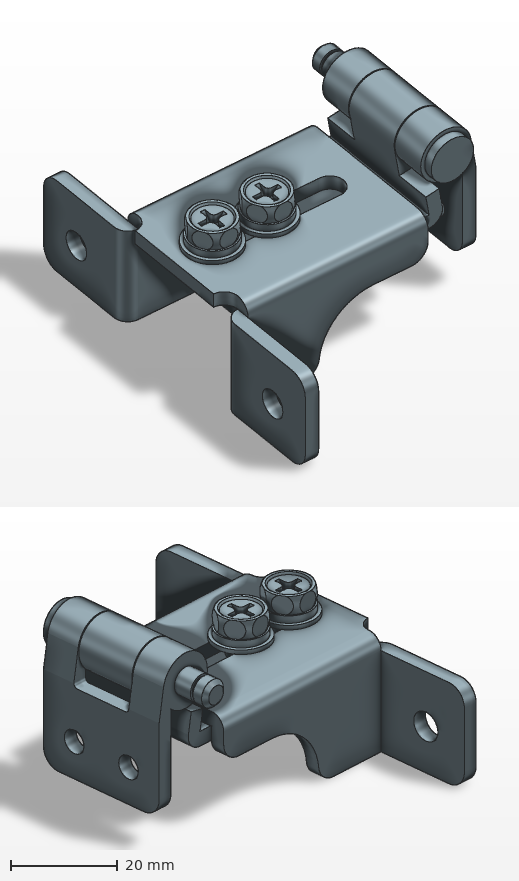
import cadquery as cq
import math

SHEET = 3.2
CORNER_RADIUS = 4.0
KNUCKLE_RADIUS = 6.0
AXIS_Y = 52.9
AXIS_Z = 34.4
PIN_RADIUS = 3.0
LEAF_WIDTH = 30.0
TONGUE_WIDTH = 13.8
KNUCKLE_GAP = 0.2
THROUGH = 160.0

PLATE_TOP = 25.0
PLATE_BOTTOM = PLATE_TOP - SHEET
BRACKET_WIDTH = 36.8
BRACKET_LENGTH = 46.0
FLAT_HALF = BRACKET_WIDTH / 2 - SHEET
CHEEK_DEPTH = 10.0
CHEEK_ARC_RADIUS = 12.8
CHEEK_ARC_Y = 32.9
WING_SPAN = 80.0
WING_HOLE_SPACING = 60.0
WING_HOLE_Z = 10.0
WING_HOLE_DIAMETER = 6.2
SLOT_WIDTH = 6.4
SLOT_REAR_Y = 37.0

BOLT_FRONT_Y = 9.0
BOLT_SPACING = 13.0
BOLT_YS = [BOLT_FRONT_Y, BOLT_FRONT_Y + BOLT_SPACING]
BOLT_DIAMETER = 6.0
BOLT_TIP = 1.1
FLAT_WASHER_DIAMETER = 12.5
FLAT_WASHER_THICKNESS = 1.0
SPRING_WASHER_DIAMETER = 10.9
SPRING_WASHER_THICKNESS = 1.6
HEAD_HEIGHT = 4.0
HEAD_ACROSS_FLATS = 10.0
HEAD_BALL_RADIUS = 5.4
DISH_RADIUS = 4.4
DISH_FLOOR_RADIUS = 4.1
DISH_DEPTH = 0.5
CROSS_ARM_WIDTH = 1.0
CROSS_LENGTH = 6.0
CROSS_FLOOR_LENGTH = 3.0
CROSS_DEPTH = 2.0
CROSS_CORNER_RADIUS = 1.0

FRONT_LEAF_Y = 4.0
FRONT_LEAF_BEND_Y = 48.9
FRONT_LEAF_CORNER = 3.0
SHOULDER_RISE = 4.7

BACK_FACE_Y = 60.0
BACK_LEAF_BOTTOM = 7.5
BACK_LEAF_BEND_Z = 28.1
BACK_HOLE_SPACING = 14.1
BACK_HOLE_HEIGHT = 8.0
BACK_HOLE_DIAMETER = 5.0
NOTCH_FLOOR_Z = 27.2
NOTCH_FILLET = 1.0

PIN_PROJECTION = 8.0
PIN_CHAMFER = 1.0
PIN_HEAD_RADIUS = 5.0
PIN_HEAD_THICKNESS = 2.0
GROOVE_TO_TIP = 3.2
GROOVE_WIDTH = 0.6
GROOVE_DEPTH = 0.5


def extrude_x(profile, width):
    """Extrude a YZ profile symmetrically about the middle plane X = 0."""
    return profile.extrude(width / 2, both=True)


def cylinder_x(radius, start, end):
    """Cylinder on the hinge axis between two X positions."""
    return (
        cq.Workplane("YZ", origin=(start, AXIS_Y, AXIS_Z))
        .circle(radius)
        .extrude(end - start)
    )


def cylinder_z(diameter, y, bottom, height):
    """Upright cylinder on the middle plane."""
    return cq.Workplane("XY", origin=(0, y, bottom)).circle(diameter / 2).extrude(height)


def tangent_to_knuckle(y, z, turn):
    """Unit direction and length of a tangent from a point to the knuckle circle.

    turn is +1 for the tangent on the front side of the knuckle, -1 for the rear side.
    """
    to_axis_y = AXIS_Y - y
    to_axis_z = AXIS_Z - z
    distance = math.hypot(to_axis_y, to_axis_z)
    angle = math.atan2(to_axis_z, to_axis_y) + turn * math.asin(KNUCKLE_RADIUS / distance)
    length = math.sqrt(distance**2 - KNUCKLE_RADIUS**2)
    return math.cos(angle), math.sin(angle), length


def make_cheek_profile():
    """Side outline of the bracket, with a concave arc that runs tangent into the foot corner."""
    step_z = PLATE_TOP - CHEEK_DEPTH
    arc_z = step_z - CHEEK_ARC_RADIUS
    rear_y = BRACKET_LENGTH - CORNER_RADIUS

    centre_distance = CHEEK_ARC_RADIUS + CORNER_RADIUS
    foot_y = CHEEK_ARC_Y - math.sqrt(centre_distance**2 - (CORNER_RADIUS - arc_z)**2)
    share = CORNER_RADIUS / centre_distance
    contact_y = foot_y + share * (CHEEK_ARC_Y - foot_y)
    contact_z = CORNER_RADIUS + share * (arc_z - CORNER_RADIUS)
    return (
        cq.Workplane("YZ")
        .moveTo(0, 0)
        .lineTo(foot_y, 0)
        .radiusArc((contact_y, contact_z), -CORNER_RADIUS)
        .radiusArc((CHEEK_ARC_Y, step_z), CHEEK_ARC_RADIUS)
        .lineTo(rear_y, step_z)
        .radiusArc((BRACKET_LENGTH, step_z + CORNER_RADIUS), -CORNER_RADIUS)
        .lineTo(BRACKET_LENGTH, PLATE_TOP)
        .lineTo(0, PLATE_TOP)
        .close()
    )


def make_right_wing():
    """Mounting wing at +X with its bend towards the cheek."""
    wing = (
        cq.Workplane("XY")
        .moveTo(FLAT_HALF, SHEET)
        .radiusArc((FLAT_HALF + SHEET, 0), -SHEET)
        .lineTo(WING_SPAN / 2, 0)
        .lineTo(WING_SPAN / 2, SHEET)
        .close()
        .extrude(PLATE_BOTTOM)
        .edges("|Y and >X")
        .fillet(CORNER_RADIUS)
    )
    hole = (
        cq.Workplane("XZ")
        .center(WING_HOLE_SPACING / 2, WING_HOLE_Z)
        .circle(WING_HOLE_DIAMETER / 2)
        .extrude(-SHEET)
    )
    return wing.cut(hole)


def make_bracket():
    channel = (
        cq.Workplane("XZ")
        .rect(BRACKET_WIDTH, 2 * PLATE_TOP)
        .extrude(-BRACKET_LENGTH)
        .edges("|Y and >Z")
        .fillet(SHEET)
    )
    inside = (
        cq.Workplane("XZ")
        .rect(BRACKET_WIDTH - 2 * SHEET, 2 * PLATE_BOTTOM)
        .extrude(-BRACKET_LENGTH)
    )
    channel = channel.cut(inside).intersect(extrude_x(make_cheek_profile(), BRACKET_WIDTH))
    front_ends = (
        cq.Workplane("XY")
        .pushPoints([(-BRACKET_WIDTH / 2, 0), (BRACKET_WIDTH / 2, 0)])
        .rect(2 * SHEET, 2 * SHEET)
        .extrude(THROUGH)
    )
    reliefs = (
        cq.Workplane("XY")
        .pushPoints([(-FLAT_HALF, 0), (FLAT_HALF, 0)])
        .circle(SHEET)
        .extrude(THROUGH)
    )
    slot = (
        cq.Workplane("XY", origin=(0, (BOLT_FRONT_Y + SLOT_REAR_Y) / 2, PLATE_BOTTOM))
        .slot2D(SLOT_REAR_Y - BOLT_FRONT_Y + SLOT_WIDTH, SLOT_WIDTH, 90)
        .extrude(SHEET)
    )
    right_wing = make_right_wing()
    left_wing = right_wing.mirror("YZ")
    return channel.cut(front_ends).cut(reliefs).cut(slot).union(right_wing).union(left_wing)


def make_front_leaf_profile(front_y, rise):
    """L-shaped section whose sloped arm reaches the given distance past the bend."""
    along_y, along_z, _ = tangent_to_knuckle(FRONT_LEAF_BEND_Y, PLATE_BOTTOM, 1)
    rear_y = along_z * SHEET
    rear_z = -along_y * SHEET
    end_y = FRONT_LEAF_BEND_Y + rise * along_y
    end_z = PLATE_BOTTOM + rise * along_z
    return (
        cq.Workplane("YZ")
        .moveTo(front_y, PLATE_BOTTOM)
        .lineTo(FRONT_LEAF_BEND_Y, PLATE_BOTTOM)
        .lineTo(end_y, end_z)
        .lineTo(end_y + rear_y, end_z + rear_z)
        .lineTo(FRONT_LEAF_BEND_Y + rear_y, PLATE_BOTTOM + rear_z)
        .radiusArc((FRONT_LEAF_BEND_Y, PLATE_BOTTOM - SHEET), SHEET)
        .lineTo(front_y, PLATE_BOTTOM - SHEET)
        .close()
    )


def make_front_leaf():
    tangent_length = tangent_to_knuckle(FRONT_LEAF_BEND_Y, PLATE_BOTTOM, 1)[2]
    leaf = extrude_x(make_front_leaf_profile(FRONT_LEAF_Y, SHOULDER_RISE), LEAF_WIDTH)
    leaf = leaf.edges("|Z and <Y").fillet(FRONT_LEAF_CORNER)
    tongue = extrude_x(make_front_leaf_profile(BRACKET_LENGTH, tangent_length), TONGUE_WIDTH)
    leaf = leaf.union(tongue).union(cylinder_x(KNUCKLE_RADIUS, -TONGUE_WIDTH / 2, TONGUE_WIDTH / 2))
    for y in BOLT_YS:
        leaf = leaf.cut(cylinder_z(BOLT_DIAMETER, y, 0, PLATE_TOP))
    return leaf.cut(cylinder_x(PIN_RADIUS, -LEAF_WIDTH, LEAF_WIDTH))


def make_back_leaf():
    along_y, along_z, length = tangent_to_knuckle(BACK_FACE_Y, BACK_LEAF_BEND_Z, -1)
    tangent_y = BACK_FACE_Y + length * along_y
    tangent_z = BACK_LEAF_BEND_Z + length * along_z
    inner_y = BACK_FACE_Y - SHEET
    profile = (
        cq.Workplane("YZ")
        .moveTo(BACK_FACE_Y, BACK_LEAF_BOTTOM)
        .lineTo(BACK_FACE_Y, BACK_LEAF_BEND_Z)
        .lineTo(tangent_y, tangent_z)
        .lineTo(inner_y, tangent_z)
        .lineTo(inner_y, BACK_LEAF_BOTTOM)
        .close()
    )
    leaf = extrude_x(profile, LEAF_WIDTH).edges("|Y and <Z").fillet(CORNER_RADIUS)
    leaf = leaf.union(cylinder_x(KNUCKLE_RADIUS, -LEAF_WIDTH / 2, LEAF_WIDTH / 2))

    notch_width = TONGUE_WIDTH + 2 * KNUCKLE_GAP
    notch = (
        cq.Workplane("XY", origin=(0, AXIS_Y, NOTCH_FLOOR_Z))
        .rect(notch_width, THROUGH)
        .extrude(THROUGH)
        .edges("|Y and <Z")
        .fillet(NOTCH_FILLET)
    )
    hole_z = BACK_LEAF_BOTTOM + BACK_HOLE_HEIGHT
    holes = (
        cq.Workplane("XZ", origin=(0, BACK_FACE_Y, 0))
        .pushPoints([(-BACK_HOLE_SPACING / 2, hole_z), (BACK_HOLE_SPACING / 2, hole_z)])
        .circle(BACK_HOLE_DIAMETER / 2)
        .extrude(SHEET)
    )
    return leaf.cut(notch).cut(holes).cut(cylinder_x(PIN_RADIUS, -LEAF_WIDTH, LEAF_WIDTH))


def make_pin():
    leaf_end = LEAF_WIDTH / 2
    tip = -leaf_end - PIN_PROJECTION
    groove_start = tip + GROOVE_TO_TIP
    shank = cylinder_x(PIN_RADIUS, tip, leaf_end).faces("<X").chamfer(PIN_CHAMFER)
    groove = cylinder_x(KNUCKLE_RADIUS, groove_start, groove_start + GROOVE_WIDTH).cut(
        cylinder_x(PIN_RADIUS - GROOVE_DEPTH, tip, leaf_end)
    )
    return shank.cut(groove).union(
        cylinder_x(PIN_HEAD_RADIUS, leaf_end, leaf_end + PIN_HEAD_THICKNESS)
    )


FLAT_WASHER_TOP = PLATE_TOP + FLAT_WASHER_THICKNESS
HEAD_BOTTOM = FLAT_WASHER_TOP + SPRING_WASHER_THICKNESS
HEAD_TOP = HEAD_BOTTOM + HEAD_HEIGHT


def make_washer(y, diameter, bottom, thickness):
    washer = cylinder_z(diameter, y, bottom, thickness)
    return washer.cut(cylinder_z(BOLT_DIAMETER, y, bottom, thickness))


def make_flat_washer(y):
    return make_washer(y, FLAT_WASHER_DIAMETER, PLATE_TOP, FLAT_WASHER_THICKNESS)


def make_spring_washer(y):
    return make_washer(y, SPRING_WASHER_DIAMETER, FLAT_WASHER_TOP, SPRING_WASHER_THICKNESS)


def make_cross_recess(y):
    """Cross with rounded inner corners and arm floors that slope down to the middle."""
    floor_z = HEAD_TOP - DISH_DEPTH - CROSS_DEPTH
    start = cq.Workplane("XY", origin=(0, y, floor_z))
    cross = (
        start.rect(CROSS_LENGTH, CROSS_ARM_WIDTH)
        .extrude(CROSS_DEPTH)
        .union(start.rect(CROSS_ARM_WIDTH, CROSS_LENGTH).extrude(CROSS_DEPTH))
    )
    inner_corners = cq.selectors.BoxSelector(
        (-CROSS_ARM_WIDTH, y - CROSS_ARM_WIDTH, floor_z),
        (CROSS_ARM_WIDTH, y + CROSS_ARM_WIDTH, HEAD_TOP),
    )
    cross = cross.edges("|Z").edges(inner_corners).fillet(CROSS_CORNER_RADIUS)
    slope = (
        start.rect(CROSS_FLOOR_LENGTH, CROSS_FLOOR_LENGTH)
        .workplane(offset=CROSS_DEPTH)
        .rect(CROSS_LENGTH, CROSS_LENGTH)
        .loft(ruled=True)
    )
    return cross.intersect(slope)


def make_bolt(y):
    """Hexagon head with ball-rounded corners, a dished top and a cross recess."""
    hexagon_corners = HEAD_ACROSS_FLATS / math.cos(math.pi / 6)
    head = (
        cq.Workplane("XY", origin=(0, y, HEAD_BOTTOM))
        .transformed(rotate=(0, 0, 90))
        .polygon(6, hexagon_corners)
        .extrude(HEAD_HEIGHT)
    )
    ball = cq.Workplane("XY", origin=(0, y, HEAD_BOTTOM + HEAD_HEIGHT / 2)).sphere(HEAD_BALL_RADIUS)
    dish = (
        cq.Workplane("XY", origin=(0, y, HEAD_TOP - DISH_DEPTH))
        .circle(DISH_FLOOR_RADIUS)
        .workplane(offset=DISH_DEPTH)
        .circle(DISH_RADIUS)
        .loft(ruled=True)
    )
    shank_end = PLATE_BOTTOM - SHEET - BOLT_TIP
    shank = cylinder_z(BOLT_DIAMETER, y, shank_end, HEAD_BOTTOM - shank_end)
    return head.intersect(ball).cut(dish).cut(make_cross_recess(y)).union(shank)


bracket = make_bracket()
front_leaf = make_front_leaf()
back_leaf = make_back_leaf()
pin = make_pin()
bodies = [bracket, front_leaf, back_leaf, pin]
for bolt_y in BOLT_YS:
    bodies.append(make_flat_washer(bolt_y))
    bodies.append(make_spring_washer(bolt_y))
    bodies.append(make_bolt(bolt_y))

result = cq.Compound.makeCompound([body.solids().val() for body in bodies])